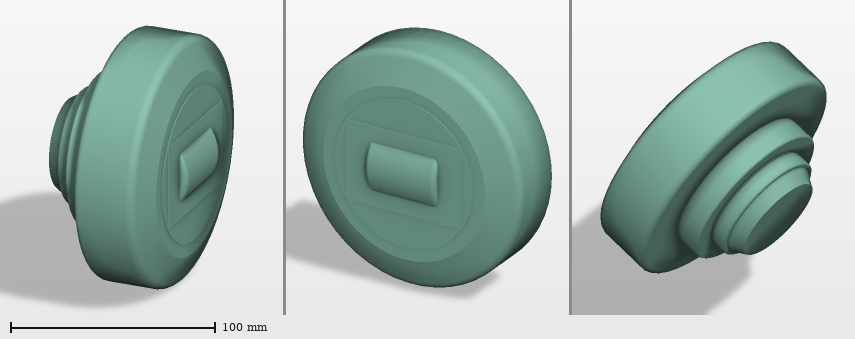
import cadquery as cq
import math

tip_radius = 23.2
cone_radius = 27.4
collar_radius = 29.9
hub_radius = 40.1
wheel_radius = 63.4
back_radius = 46.5

collar_x = 7.4
hub_x = 16.1
wheel_x = 30.2
back_x = 67.5
total_length = 72.4

step_chamfer = 0.6
front_round = 3.2
back_round = 5.0
back_slope = math.radians(20)

groove_radius = 30.4
groove_depth = 0.6

cover_radius = 39.7
cover_thickness = 0.4
plate_width = 66.2
plate_height = 43.4
plate_thickness = 0.4

roller_radius = 22.5
roller_length = 40.1
roller_round = 2.7


def step(x_start, x_end, radius):
    """Round step along X with both rims chamfered."""
    disc = cq.Workplane("YZ", origin=(x_start, 0, 0)).circle(radius).extrude(x_end - x_start)
    return disc.edges().chamfer(step_chamfer)


def cone():
    """Tapered shaft end, widening toward the collar."""
    outline = cq.Workplane("XY").polyline(
        [(0, 0), (0, tip_radius), (collar_x, cone_radius), (collar_x, 0)]
    )
    return outline.close().revolve(360, (0, 0, 0), (1, 0, 0))


def collar_groove():
    """Ring to cut from the hub face, just outside the collar's chamfered foot."""
    ring = cq.Workplane("YZ", origin=(hub_x, 0, 0)).circle(groove_radius)
    return ring.circle(collar_radius - step_chamfer).extrude(groove_depth)


def wheel():
    """Wheel with a rounded front rim and a rounded, sloped back rim."""
    rim_radius = wheel_radius - back_round * (1 - math.sin(back_slope))
    rim_x = back_x - (rim_radius - back_radius) * math.tan(back_slope)
    arc_x = rim_x - back_round * math.cos(back_slope)
    mid_angle = (math.pi / 2 + back_slope) / 2
    arc_mid = (
        arc_x + back_round * math.cos(mid_angle),
        wheel_radius - back_round * (1 - math.sin(mid_angle)),
    )
    front_offset = front_round * (1 - math.sqrt(0.5))
    outline = (
        cq.Workplane("XY")
        .moveTo(wheel_x, 0)
        .lineTo(wheel_x, wheel_radius - front_round)
        .threePointArc(
            (wheel_x + front_offset, wheel_radius - front_offset),
            (wheel_x + front_round, wheel_radius),
        )
        .lineTo(arc_x, wheel_radius)
        .threePointArc(arc_mid, (rim_x, rim_radius))
        .lineTo(back_x, back_radius)
        .lineTo(back_x, 0)
        .close()
    )
    return outline.revolve(360, (0, 0, 0), (1, 0, 0))


def back_faces():
    """Thin round cover carrying a thin rectangular plate."""
    cover = cq.Workplane("YZ", origin=(back_x, 0, 0)).circle(cover_radius).extrude(cover_thickness)
    return cover.faces(">X").workplane().rect(plate_width, plate_height).extrude(plate_thickness)


def side_roller():
    """Roller with rounded ends; its outermost line sets the total length."""
    center = (total_length - roller_radius, 0, 0)
    roller = cq.Workplane("XZ", origin=center).circle(roller_radius).extrude(roller_length / 2, both=True)
    roller = roller.edges("%CIRCLE").fillet(roller_round)
    keep = cq.Workplane("XY", origin=center).box(
        roller_radius, roller_length, 2 * roller_radius, centered=(False, True, True)
    )
    return roller.intersect(keep)


result = (
    cone()
    .union(step(collar_x, hub_x, collar_radius))
    .union(step(hub_x, wheel_x, hub_radius))
    .cut(collar_groove())
    .union(wheel())
    .union(back_faces())
    .union(side_roller())
)